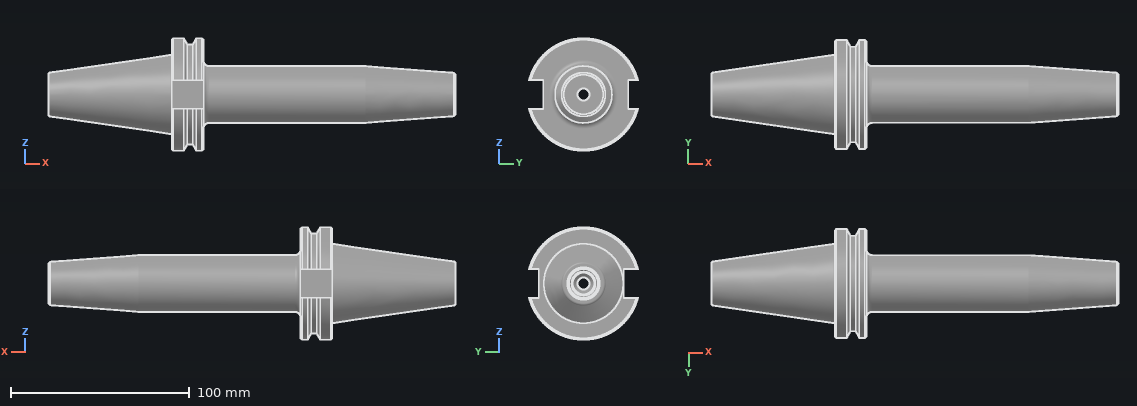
import cadquery as cq

total_length = 228.2
gauge_length = 68.5
flange_start = 69.2
flange_end = 87.0
nose_start = 177.8

gauge_radius = 44.5 / 2
taper_ratio = 7 / 24
small_end_radius = gauge_radius - gauge_length * taper_ratio / 2
small_end_fillet = 1.4

flange_radius = 63.2 / 2
flange_chamfer = 1.0
groove_center = 79.5
groove_floor_radius = 28.0
groove_floor_width = 3.0
groove_mouth_width = 7.0

shank_radius = 32.0 / 2
shank_fillet = 3.2
nose_radius = 24.5 / 2
nose_chamfer = 1.1

slot_width = 16.2
front_slot_floor = 22.5
rear_slot_floor = 25.0

countersink_radius = 9.1
pilot_radius = 17.0 / 2
pilot_depth = 4.5
seat_radius = 16.2 / 2
thread_radius = 13.5 / 2
thread_depth = 27.5
relief_radius = 12.0 / 2
relief_depth = 32.0
through_radius = 6.6 / 2


def revolve_about_x(profile):
    return profile.close().revolve(360, (0, 0, 0), (1, 0, 0))


def make_taper():
    taper = revolve_about_x(
        cq.Workplane("XY")
        .lineTo(0, small_end_radius)
        .lineTo(gauge_length, gauge_radius)
        .lineTo(flange_start, gauge_radius)
        .lineTo(flange_start, 0)
    )
    return taper.faces("<X").edges().fillet(small_end_fillet)


def make_flange():
    rim = flange_radius - flange_chamfer
    return revolve_about_x(
        cq.Workplane("XY")
        .moveTo(flange_start, 0)
        .lineTo(flange_start, rim)
        .lineTo(flange_start + flange_chamfer, flange_radius)
        .lineTo(groove_center - groove_mouth_width / 2, flange_radius)
        .lineTo(groove_center - groove_floor_width / 2, groove_floor_radius)
        .lineTo(groove_center + groove_floor_width / 2, groove_floor_radius)
        .lineTo(groove_center + groove_mouth_width / 2, flange_radius)
        .lineTo(flange_end - flange_chamfer, flange_radius)
        .lineTo(flange_end, rim)
        .lineTo(flange_end, 0)
    )


def make_shank():
    blend_end = flange_end + shank_fillet
    return revolve_about_x(
        cq.Workplane("XY")
        .moveTo(flange_end, 0)
        .lineTo(flange_end, shank_radius + shank_fillet)
        .radiusArc((blend_end, shank_radius), -shank_fillet)
        .lineTo(nose_start, shank_radius)
        .lineTo(total_length, nose_radius)
        .lineTo(total_length, 0)
    ).faces(">X").edges().chamfer(nose_chamfer)


def make_drive_slot(side, floor):
    slot_depth = flange_radius
    return cq.Workplane("XY").box(
        flange_end - flange_start, slot_depth, slot_width, centered=(False, True, True)
    ).translate((flange_start, side * (floor + slot_depth / 2), 0))


def make_bore():
    countersink_depth = countersink_radius - pilot_radius
    seat_end = pilot_depth + seat_radius - thread_radius
    cone_depth = relief_radius - through_radius
    return revolve_about_x(
        cq.Workplane("XY")
        .lineTo(0, countersink_radius)
        .lineTo(countersink_depth, pilot_radius)
        .lineTo(pilot_depth, pilot_radius)
        .lineTo(pilot_depth, seat_radius)
        .lineTo(seat_end, thread_radius)
        .lineTo(thread_depth, thread_radius)
        .lineTo(thread_depth, relief_radius)
        .lineTo(relief_depth, relief_radius)
        .lineTo(relief_depth + cone_depth, through_radius)
        .lineTo(total_length, through_radius)
        .lineTo(total_length, 0)
    )


body = make_taper().union(make_flange()).union(make_shank())
body = body.cut(make_drive_slot(-1, front_slot_floor))
body = body.cut(make_drive_slot(1, rear_slot_floor))
result = body.cut(make_bore())